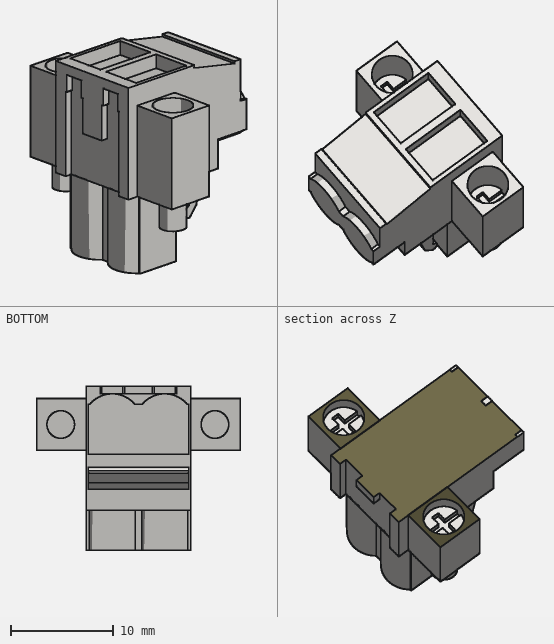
import cadquery as cq


total_width = 19.97
total_depth = 16.1
total_height = 20.05

housing_width = 10.25
plug_length = 8.32
housing_height = total_height - plug_length
pole_pitch = 5.13
rear_step_y = 12.2
ramp_front_y = 8.98
ramp_front_z = 11.43
ramp_rear_y = 14.45
ramp_rear_z = 10.43
rear_lip_y = 15.28
rear_lip_z = 10.67

entry_bottom_z = 3.09
entry_top_z = 6.28
entry_bulge_width = 4.47
entry_bulge_height = 1.15

plug_width = 9.82
plug_flat_y = 1.76
plug_rear_y = 6.7
plug_bulge_width = 4.4
plug_bulge_height = 1.0

window_inner_x = 0.4
window_outer_x = 4.65
window_front_y = 1.5
window_rear_y = 8.32
window_depth = 1.46

recess_depth = plug_flat_y - plug_bulge_height
recess_outer_x = 3.75
tongue_half_width = 1.32
tongue_bottom_z = 5.15
leg_step_z = 8.86
leg_top_z = 10.69
leg_tip_outer_x = 3.6
leg_tip_inner_x = 1.55

latch_width = plug_width
latch_front_y = 8.48
latch_rear_y = 10.13
latch_neck_z = -2.93
latch_knee_y = 9.46
latch_knee_z = -3.1
latch_heel_y = 8.55
latch_heel_z = -4.23
latch_toe_y = 8.28
latch_nose_y = 7.95
latch_nose_z = -3.6

flange_width = (total_width - housing_width) / 2
flange_height = 9.56
flange_front_y = 1.2
flange_depth = 5.1
screw_from_flange_left = 2.37
screw_y = 3.77

head_diameter = 4.0
shank_diameter = 2.7
shank_drop = 3.17
head_bottom_z = 3.0
head_height = 2.0
slot_depth = 0.6
slot_width = 0.6
cross_length = 2.59
cross_width = 0.78

pole_centres = (-pole_pitch / 2, pole_pitch / 2)
flange_left_edges = (-total_width / 2, housing_width / 2)


def block(x0, x1, y0, y1, z0, z1):
    """Box between two opposite corners."""
    return cq.Workplane("XY").box(x1 - x0, y1 - y0, z1 - z0, centered=False).translate((x0, y0, z0))


def side_prism(outline, width):
    """Solid with a closed (Y, Z) outline, centred on X = 0."""
    return outline.close().extrude(width / 2, both=True)


def bulge(plane, centre, base, width, height, length):
    """Bar with a circular-segment section; a negative height bulges the other way."""
    return (
        cq.Workplane(plane)
        .moveTo(centre - width / 2, base)
        .threePointArc((centre, base + height), (centre + width / 2, base))
        .close()
        .extrude(length)
    )


def make_housing_body():
    outline = cq.Workplane("YZ").polyline([
        (0, 0),
        (rear_step_y, 0),
        (rear_step_y, entry_bottom_z),
        (total_depth, entry_bottom_z),
        (total_depth, entry_top_z),
        (rear_lip_y, entry_top_z),
        (rear_lip_y, rear_lip_z),
        (ramp_rear_y, rear_lip_z),
        (ramp_rear_y, ramp_rear_z),
        (ramp_front_y, ramp_front_z),
        (ramp_front_y, housing_height),
        (0, housing_height),
    ])
    return side_prism(outline, housing_width)


def make_entry_bulges(centre):
    """Upper and lower bulge of one wire entry, running forward to the rear step."""
    length = total_depth - rear_step_y
    upper = bulge("XZ", centre, entry_top_z, entry_bulge_width, entry_bulge_height, length)
    lower = bulge("XZ", centre, entry_bottom_z, entry_bulge_width, -entry_bulge_height, length)
    return upper.union(lower).translate((0, total_depth, 0))


def make_plug():
    half_width = plug_width / 2
    plug = block(-half_width, half_width, plug_flat_y, plug_rear_y, -plug_length, 0)
    for centre in pole_centres:
        plug = plug.union(bulge("XY", centre, plug_flat_y, plug_bulge_width, -plug_bulge_height, -plug_length))
    return plug


def make_latch():
    outline = (
        cq.Workplane("YZ")
        .moveTo(latch_front_y, 0)
        .lineTo(latch_rear_y, 0)
        .lineTo(latch_knee_y, latch_knee_z)
        .lineTo(latch_heel_y, latch_heel_z)
        .lineTo(latch_toe_y, latch_heel_z)
        .threePointArc((latch_nose_y, latch_nose_z), (latch_front_y, latch_neck_z))
    )
    return side_prism(outline, latch_width)


def make_front_recess():
    recess = block(-recess_outer_x, recess_outer_x, 0, recess_depth, 0, leg_step_z)
    recess = recess.cut(
        block(-tongue_half_width, tongue_half_width, 0, recess_depth, tongue_bottom_z, leg_step_z)
    )
    leg_tip = block(leg_tip_inner_x, leg_tip_outer_x, 0, recess_depth, leg_step_z, leg_top_z)
    return recess.union(leg_tip).union(leg_tip.mirror("YZ"))


def make_top_windows():
    window = block(
        window_inner_x, window_outer_x,
        window_front_y, window_rear_y,
        housing_height - window_depth, housing_height,
    )
    return window.union(window.mirror("YZ"))


def make_housing():
    housing = make_housing_body()
    for centre in pole_centres:
        housing = housing.union(make_entry_bulges(centre))
    housing = housing.union(make_plug()).union(make_latch())
    return housing.cut(make_front_recess()).cut(make_top_windows())


def make_screw_envelope(left_edge, head_top_z):
    """Shank and head without the drive, with the head reaching up to the given height."""
    shank = cq.Workplane("XY").circle(shank_diameter / 2).extrude(head_bottom_z + shank_drop)
    head = cq.Workplane("XY").circle(head_diameter / 2).extrude(head_top_z - head_bottom_z)
    envelope = shank.translate((0, 0, -shank_drop)).union(head.translate((0, 0, head_bottom_z)))
    return envelope.translate((left_edge + screw_from_flange_left, screw_y, 0))


def make_flange(left_edge):
    """Flange block with a stepped bore that fits the screw and is open at the top."""
    flange = block(
        left_edge, left_edge + flange_width,
        flange_front_y, flange_front_y + flange_depth,
        0, flange_height,
    )
    return flange.cut(make_screw_envelope(left_edge, flange_height))


def make_screw(left_edge):
    """Screw with a slot across the whole head and a short cross arm."""
    head_top_z = head_bottom_z + head_height
    slot = cq.Workplane("XY").rect(slot_width, head_diameter).extrude(-slot_depth)
    cross_arm = cq.Workplane("XY").rect(cross_length, cross_width).extrude(-slot_depth)
    drive = slot.union(cross_arm).translate((left_edge + screw_from_flange_left, screw_y, head_top_z))
    return make_screw_envelope(left_edge, head_top_z).cut(drive)


housing = make_housing()
flanges = [make_flange(left_edge) for left_edge in flange_left_edges]
screws = [make_screw(left_edge) for left_edge in flange_left_edges]

result = cq.Compound.makeCompound([body.val() for body in [housing, *flanges, *screws]])